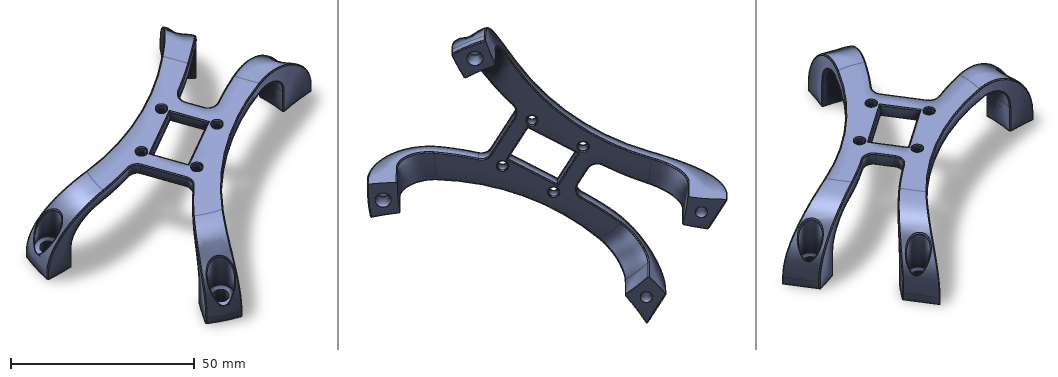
import cadquery as cq
import math

height = 22.6
plate_thickness = 4.0
plate_bottom = height - plate_thickness
edge_chamfer = 0.3
tolerance = 0.01
sharp_angle = 0.2

outer_arc_radius = 68.4
outer_arc_x = 81.0
outer_arc_y = 10.9
inner_arc_radius = 86.6
back_inner_arc_x = 92.3
back_inner_arc_y = 14.1
front_inner_arc_x = 92.4
front_inner_arc_y = 9.8
bridge_half_length = 12.6
corner_radius = 3.05

outer_bend_radius = 20.0
inner_bend_radius = 10.0
back_end_y = 45.4
front_end_radius = 47.8
hollow_radius = 39.6

bolt_offset = 8.0
bolt_diameter = 2.8
window_width = 11.0
window_length = 15.7
bore_floor = 6.2
back_hole_x = 15.0
back_hole_y = 41.2
back_hole_diameter = 3.3
back_bore_diameter = 6.5
front_hole_x = 25.0
front_hole_y = -35.75
front_hole_diameter = 4.4
front_bore_diameter = 7.5


def arc_x(y, radius, centre_x, centre_y):
    """Distance from the YZ plane to a side arc at the given Y."""
    return centre_x - math.sqrt(radius**2 - (y - centre_y) ** 2)


def outer_point(side, y):
    return side * arc_x(y, outer_arc_radius, outer_arc_x, outer_arc_y), y


def back_inner_point(side, y):
    return side * arc_x(y, inner_arc_radius, back_inner_arc_x, back_inner_arc_y), y


def front_inner_point(side, y):
    return side * arc_x(y, inner_arc_radius, front_inner_arc_x, front_inner_arc_y), y


def plan_prism():
    """X-shaped plan as a prism; the front legs run past their ends and are trimmed later."""
    left, right = -1, 1
    back_y = back_end_y
    front_y = -front_end_radius
    back_bridge_y = bridge_half_length
    front_bridge_y = -bridge_half_length
    back_mid_y = (back_y + back_bridge_y) / 2
    front_mid_y = (front_y + front_bridge_y) / 2
    outline = (
        cq.Workplane("XY")
        .moveTo(*outer_point(left, front_y))
        .threePointArc(outer_point(left, 0), outer_point(left, back_y))
        .lineTo(*back_inner_point(left, back_y))
        .threePointArc(back_inner_point(left, back_mid_y), back_inner_point(left, back_bridge_y))
        .lineTo(*back_inner_point(right, back_bridge_y))
        .threePointArc(back_inner_point(right, back_mid_y), back_inner_point(right, back_y))
        .lineTo(*outer_point(right, back_y))
        .threePointArc(outer_point(right, 0), outer_point(right, front_y))
        .lineTo(*front_inner_point(right, front_y))
        .threePointArc(front_inner_point(right, front_mid_y), front_inner_point(right, front_bridge_y))
        .lineTo(*front_inner_point(left, front_bridge_y))
        .threePointArc(front_inner_point(left, front_mid_y), front_inner_point(left, front_y))
        .close()
    )
    reach = bridge_half_length + tolerance
    bridge_corners = cq.selectors.BoxSelector((-reach, -reach, 0), (reach, reach, height))
    return outline.extrude(height).edges("|Z").edges(bridge_corners).fillet(corner_radius)


def bend_section(workplane, end, top, bend_radius):
    """Half section under a flat top that bends down into an upright end face."""
    centre_across = end - bend_radius
    centre_up = top - bend_radius
    diagonal = bend_radius * math.sqrt(0.5)
    return (
        cq.Workplane(workplane)
        .lineTo(0, top)
        .lineTo(centre_across, top)
        .threePointArc((centre_across + diagonal, centre_up + diagonal), (end, centre_up))
        .lineTo(end, 0)
        .close()
    )


def turned(section, angle):
    """Turn a section lying in the XZ plane about Z, starting towards -Y."""
    return section.revolve(angle, (0, 0, 0), (0, -1, 0))


def bent_body():
    back_half = bend_section("YZ", back_end_y, height, outer_bend_radius)
    back_half = back_half.extrude(front_end_radius, both=True)
    front_half = turned(bend_section("XZ", front_end_radius, height, outer_bend_radius), 180)
    hollow = turned(bend_section("XZ", hollow_radius, plate_bottom, inner_bend_radius), 360)
    return back_half.union(front_half).intersect(plan_prism()).cut(hollow)


def on_bend(reach, z, end, top, bend_radius):
    """True where a point lies on the flat top, the bend or the end face of a bent surface."""
    across = max(reach - (end - bend_radius), 0)
    up = max(z - (top - bend_radius), 0)
    return abs(math.hypot(across, up) - bend_radius) < tolerance


def on_skin(point):
    """True on the bent surface over the body or on the hollow under it."""
    radius = math.hypot(point.x, point.y)
    over = on_bend(radius, point.z, front_end_radius, height, outer_bend_radius)
    if point.y > 0:
        over = on_bend(point.y, point.z, back_end_y, height, outer_bend_radius)
    under = on_bend(radius, point.z, hollow_radius, plate_bottom, inner_bend_radius)
    return over or (under and point.z > tolerance)


def is_sharp(edge, body):
    """True if the two faces beside an edge meet at an angle."""
    middle = edge.positionAt(0.5)
    faces = body.faces().filter(lambda face: any(edge.isSame(other) for other in face.Edges())).vals()
    return faces[0].normalAt(middle).getAngle(faces[1].normalAt(middle)) > sharp_angle


def chamfer_skin_edges(body):
    return (
        body.edges()
        .filter(lambda edge: all(on_skin(point) for point in edge.positions([0.25, 0.5, 0.75])))
        .filter(lambda edge: is_sharp(edge, body))
        .chamfer(edge_chamfer)
    )


def cylinders(points, diameter, bottom):
    return cq.Workplane("XY", origin=(0, 0, bottom)).pushPoints(points).circle(diameter / 2).extrude(height)


def chamfer_rims(body, points, diameter, above):
    """Chamfer the mouths of round holes that lie above a given height."""

    def on_wall(place):
        return any(abs(math.hypot(place.x - x, place.y - y) - diameter / 2) < tolerance for x, y in points)

    def is_rim(edge):
        places = edge.positions([0.1, 0.4, 0.7])
        is_round = edge.geomType() != "LINE"
        return is_round and all(on_wall(place) and place.z > above + tolerance for place in places)

    return body.edges().filter(is_rim).chamfer(edge_chamfer)


def cut_counterbored_pair(body, hole_x, hole_y, hole_diameter, bore_diameter):
    points = [(-hole_x, hole_y), (hole_x, hole_y)]
    body = body.cut(cylinders(points, hole_diameter, 0)).cut(cylinders(points, bore_diameter, bore_floor))
    return chamfer_rims(body, points, bore_diameter, bore_floor)


def cut_bolt_holes(body):
    points = [(x, y) for x in (-bolt_offset, bolt_offset) for y in (-bolt_offset, bolt_offset)]
    return chamfer_rims(body.cut(cylinders(points, bolt_diameter, 0)), points, bolt_diameter, 0)


def cut_window(body):
    """Rectangular opening through the plate with chamfered mouths."""
    window = cq.Workplane("XY").rect(window_width, window_length).extrude(height)
    half_width = window_width / 2 + tolerance
    half_length = window_length / 2 + tolerance
    mouths = cq.selectors.BoxSelector((-half_width, -half_length, 0), (half_width, half_length, height + tolerance))
    return body.cut(window).edges(mouths).edges("not |Z").chamfer(edge_chamfer)


body = chamfer_skin_edges(bent_body())
body = cut_window(body)
body = cut_bolt_holes(body)
body = cut_counterbored_pair(body, back_hole_x, back_hole_y, back_hole_diameter, back_bore_diameter)
body = cut_counterbored_pair(body, front_hole_x, front_hole_y, front_hole_diameter, front_bore_diameter)
result = body